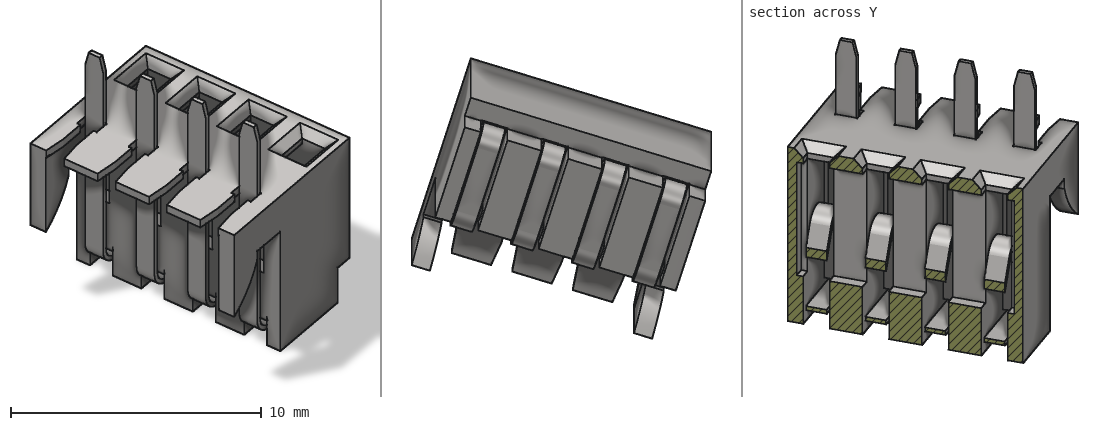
import cadquery as cq
import math

LENGTH_X = 10.06
DEPTH_Y = 7.8
HOUSING_TOP = 7.86
REAR_Y = DEPTH_Y / 2
FRONT_Y = -DEPTH_Y / 2
CONTACT_COUNT = 4
PITCH = 2.54

BODY_DEPTH = 4.68
WALL_Y = REAR_Y - BODY_DEPTH
REAR_STEP_DEPTH = 0.79
REAR_STEP_HEIGHT = 1.76
PLATE_THICKNESS = 0.38

ARM_WIDTH = 0.76
ARM_BOTTOM = 6.06
HOOK_LENGTH = 1.55
HOOK_CURVE_TOP = 5.62
HOOK_TIP = 3.72
HOOK_RADIUS = 4.0

PIN_WIDTH = 0.89
PIN_THICKNESS = 0.2
PIN_TOP = 11.23
TIP_WIDTH = 0.54
TIP_LENGTH = 0.67
PIN_GAP = 0.29
PIN_BACK_Y = WALL_Y - PIN_GAP
PIN_FRONT_Y = PIN_BACK_Y - PIN_THICKNESS
BEND_RADIUS = 0.84
BEND_INNER_RADIUS = BEND_RADIUS - PIN_THICKNESS
CONTACT_BOTTOM = 0.64
BEND_CENTRE_Z = CONTACT_BOTTOM + BEND_RADIUS
SPRING_SLOPE = 63.0

SLOT_WIDTH = 0.97
SLOT_SHOULDER_Y = REAR_Y - 5.66
NECK_WIDTH = 0.65
FLARE_LENGTH = 1.01
MOUTH_WIDTH = PIN_WIDTH

CHANNEL_WIDTH = 1.12
CHANNEL_HEIGHT = 0.94
CHANNEL_EDGE_RADIUS = 0.5
SOCKET_DEPTH_Y = 1.38
SOCKET_REAR_WALL = 0.76
SOCKET_REAR_Y = REAR_Y - SOCKET_REAR_WALL
SOCKET_FRONT_Y = SOCKET_REAR_Y - SOCKET_DEPTH_Y
SOCKET_Y = (SOCKET_REAR_Y + SOCKET_FRONT_Y) / 2
FUNNEL_SIZE = 0.38

ROOF_THICKNESS = 0.64
ROOF_BOTTOM = HOUSING_TOP - ROOF_THICKNESS
FRONT_WALL = 0.65
CELL_FRONT_Y = WALL_Y + FRONT_WALL
END_WALL = 0.39
TUNNEL_BOTTOM = REAR_STEP_HEIGHT + END_WALL

WINDOW_WIDTH = 0.79
WINDOW_SILL = 3.59

CONTACT_XS = [(i - (CONTACT_COUNT - 1) / 2) * PITCH for i in range(CONTACT_COUNT)]


def box(x_centre, x_size, y_min, y_max, z_min, z_max):
    """Box centred on x_centre and spanning the given Y and Z limits."""
    solid = cq.Workplane("XY").box(x_size, y_max - y_min, z_max - z_min, centered=(True, False, False))
    return solid.translate((x_centre, y_min, z_min))


def extrude_profile(sketch, x_centre, width):
    """Extrude a closed YZ outline symmetrically about x_centre."""
    return sketch.close().extrude(width / 2, both=True).translate((x_centre, 0, 0))


def make_body():
    """Main block with a stepped rear underside and a thin plate over the pins."""
    body = box(0, LENGTH_X, WALL_Y, REAR_Y, 0, HOUSING_TOP)
    step = box(0, LENGTH_X, REAR_Y - REAR_STEP_DEPTH, REAR_Y, 0, REAR_STEP_HEIGHT)
    plate = box(0, LENGTH_X, FRONT_Y, WALL_Y, HOUSING_TOP - PLATE_THICKNESS, HOUSING_TOP)
    return body.cut(step).union(plate)


def make_arm(side):
    """Latch arm under the plate; side is -1 or +1 along X."""
    hook_y = FRONT_Y + HOOK_LENGTH
    plate_bottom = HOUSING_TOP - PLATE_THICKNESS
    outline = (
        cq.Workplane("YZ")
        .moveTo(WALL_Y, plate_bottom)
        .lineTo(WALL_Y, ARM_BOTTOM)
        .lineTo(hook_y, ARM_BOTTOM)
        .lineTo(hook_y, HOOK_CURVE_TOP)
        .radiusArc((FRONT_Y, HOOK_TIP), HOOK_RADIUS)
        .lineTo(FRONT_Y, plate_bottom)
    )
    return extrude_profile(outline, side * (LENGTH_X - ARM_WIDTH) / 2, ARM_WIDTH)


def make_plate_slot(x):
    """Seat for the pin, opening forward through a neck and a flared mouth."""
    flare_y = FRONT_Y + FLARE_LENGTH
    right_side = [
        (SLOT_WIDTH / 2, PIN_BACK_Y),
        (SLOT_WIDTH / 2, SLOT_SHOULDER_Y),
        (NECK_WIDTH / 2, SLOT_SHOULDER_Y),
        (NECK_WIDTH / 2, flare_y),
        (MOUTH_WIDTH / 2, FRONT_Y),
    ]
    left_side = [(-side_x, side_y) for side_x, side_y in reversed(right_side)]
    slot = cq.Workplane("XY").polyline(right_side + left_side).close().extrude(PLATE_THICKNESS)
    return slot.translate((x, 0, HOUSING_TOP - PLATE_THICKNESS))


def make_channel(x):
    """Channel along the underside, its front upper edge rounded."""
    radius = CHANNEL_EDGE_RADIUS
    outline = (
        cq.Workplane("YZ")
        .moveTo(REAR_Y, 0)
        .lineTo(REAR_Y, CHANNEL_HEIGHT)
        .lineTo(WALL_Y + radius, CHANNEL_HEIGHT)
        .radiusArc((WALL_Y, CHANNEL_HEIGHT + radius), radius)
        .lineTo(WALL_Y, 0)
    )
    return extrude_profile(outline, x, CHANNEL_WIDTH)


def make_socket(x):
    """Opening through the roof with a tapered funnel at the top."""
    throat = box(x, CHANNEL_WIDTH, SOCKET_FRONT_Y, SOCKET_REAR_Y, ROOF_BOTTOM, HOUSING_TOP)
    funnel = (
        cq.Workplane("XY", origin=(x, SOCKET_Y, HOUSING_TOP - FUNNEL_SIZE))
        .rect(CHANNEL_WIDTH, SOCKET_DEPTH_Y)
        .workplane(offset=FUNNEL_SIZE)
        .rect(CHANNEL_WIDTH + 2 * FUNNEL_SIZE, SOCKET_DEPTH_Y + 2 * FUNNEL_SIZE)
        .loft(ruled=True)
    )
    return throat.union(funnel)


def make_cell(x):
    """Space for the spring, open to the channel below."""
    return box(x, CHANNEL_WIDTH, CELL_FRONT_Y, SOCKET_REAR_Y, 0, ROOF_BOTTOM)


def make_window(x):
    """Opening through the front wall, from the sill up to the roof."""
    return box(x, WINDOW_WIDTH, WALL_Y, CELL_FRONT_Y, WINDOW_SILL, ROOF_BOTTOM)


def make_cross_tunnel():
    """Space under the roof that joins the sockets along X."""
    width = LENGTH_X - 2 * END_WALL
    return box(0, width, SOCKET_FRONT_Y, SOCKET_REAR_Y, TUNNEL_BOTTOM, ROOF_BOTTOM)


def on_circle(centre, radius, degrees):
    """Point in the YZ plane, with the angle measured from +Y towards +Z."""
    angle = math.radians(degrees)
    return (centre[0] + radius * math.cos(angle), centre[1] + radius * math.sin(angle))


def spring_apex_centre(rear_centre):
    """Centre of the top bend, placed so the front leg meets the inner edge of the window sill."""
    slope = math.radians(SPRING_SLOPE)
    sill_dy = CELL_FRONT_Y - rear_centre[0]
    sill_dz = WINDOW_SILL - rear_centre[1]
    sill_distance = sill_dz * math.cos(slope) - sill_dy * math.sin(slope)
    leg_length = (sill_distance - BEND_RADIUS) / math.sin(2 * slope)
    return (
        rear_centre[0] - leg_length * math.cos(slope),
        rear_centre[1] + leg_length * math.sin(slope),
    )


def make_contact(x):
    """Upright pin, bent under the body and back up as an inverted V spring."""
    front_centre = (PIN_FRONT_Y + BEND_RADIUS, BEND_CENTRE_Z)
    rear_centre = (SOCKET_REAR_Y - BEND_RADIUS, BEND_CENTRE_Z)
    apex_centre = spring_apex_centre(rear_centre)
    leg_normal = 90 - SPRING_SLOPE
    rear_middle = (leg_normal - 90) / 2
    spring_end_height = PIN_THICKNESS / math.cos(math.radians(SPRING_SLOPE))
    outer = BEND_RADIUS
    inner = BEND_INNER_RADIUS
    outline = (
        cq.Workplane("YZ")
        .moveTo(PIN_FRONT_Y, PIN_TOP)
        .lineTo(*on_circle(front_centre, outer, 180))
        .threePointArc(on_circle(front_centre, outer, 225), on_circle(front_centre, outer, 270))
        .lineTo(*on_circle(rear_centre, outer, -90))
        .threePointArc(on_circle(rear_centre, outer, rear_middle), on_circle(rear_centre, outer, leg_normal))
        .lineTo(*on_circle(apex_centre, outer, leg_normal))
        .threePointArc(on_circle(apex_centre, outer, 90), on_circle(apex_centre, outer, 180 - leg_normal))
        .lineTo(CELL_FRONT_Y, WINDOW_SILL)
        .lineTo(CELL_FRONT_Y, WINDOW_SILL - spring_end_height)
        .lineTo(*on_circle(apex_centre, inner, 180 - leg_normal))
        .threePointArc(on_circle(apex_centre, inner, 90), on_circle(apex_centre, inner, leg_normal))
        .lineTo(*on_circle(rear_centre, inner, leg_normal))
        .threePointArc(on_circle(rear_centre, inner, rear_middle), on_circle(rear_centre, inner, -90))
        .lineTo(*on_circle(front_centre, inner, 270))
        .threePointArc(on_circle(front_centre, inner, 225), on_circle(front_centre, inner, 180))
        .lineTo(PIN_BACK_Y, PIN_TOP)
    )
    contact = extrude_profile(outline, x, PIN_WIDTH)

    for side in (-1, 1):
        tip_corner = (
            cq.Workplane("XZ", origin=(x, PIN_BACK_Y, 0))
            .moveTo(side * PIN_WIDTH / 2, PIN_TOP - TIP_LENGTH)
            .lineTo(side * PIN_WIDTH / 2, PIN_TOP)
            .lineTo(side * TIP_WIDTH / 2, PIN_TOP)
            .close()
            .extrude(PIN_THICKNESS)
        )
        contact = contact.cut(tip_corner)
    return contact


result = make_body()
for x_side in (-1, 1):
    result = result.union(make_arm(x_side))
result = result.cut(make_cross_tunnel())

for contact_x in CONTACT_XS:
    for make_opening in (make_plate_slot, make_channel, make_socket, make_cell, make_window):
        result = result.cut(make_opening(contact_x))
    result = result.union(make_contact(contact_x))